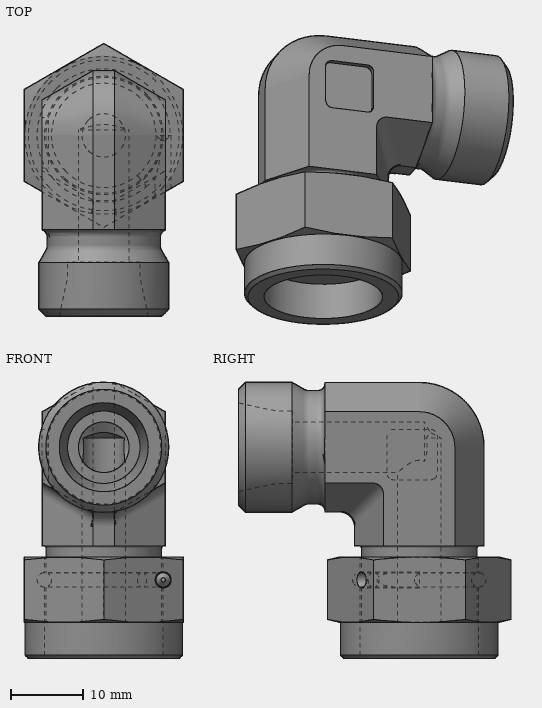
import cadquery as cq
import math


overall_height = 38.2
overall_length = 37.7
thread_diameter = 18.0
thread_radius = thread_diameter / 2

nut_flats = 22.0
nut_hex_bottom_z = 5.0
nut_top_z = 14.05
nut_collar_diameter = 21.8
nut_collar_chamfer = 0.5
nut_bevel_diameter = 21.95
nut_corner_drop = 0.42
nut_bore_diameter = 16.4
nut_corner_radius = nut_flats / 2 / math.cos(math.radians(30))
nut_collar_radius = nut_collar_diameter / 2

arm_axis_z = overall_height - thread_radius
block_flats = 17.0
crest_width = 2.95
block_bottom_z = 15.6
block_front_y = -13.03
inner_corner_radius = 2.0
half_width = block_flats / 2
shoulder_height = half_width * math.tan(math.radians(30))
crest_height = 2 * shoulder_height - crest_width / 2 * math.tan(math.radians(30))

badge_size = 7.0
badge_corner_radius = 1.0
badge_depth = 0.85
badge_center_y = -1.0
badge_center_z = 28.2

arm_end_y = nut_corner_radius - overall_length
thread_length = 7.4
thread_chamfer = 1.0
neck_diameter = 15.7
neck_root_fillet = 1.0
thread_runout_angle = 30
thread_runout_fillet = 1.0
neck_radius = neck_diameter / 2
runout_length = (thread_radius - neck_radius) / math.tan(math.radians(thread_runout_angle))
thread_back_y = arm_end_y + thread_length

shaft_diameter = 16.0
shaft_bottom_z = nut_hex_bottom_z
shaft_root_fillet = 0.35
shaft_radius = shaft_diameter / 2

arm_bore_diameter = 7.0
arm_bore_end_y = 0.73
shaft_bore_diameter = 6.0
shaft_bore_end_z = arm_axis_z + 1.25
drill_tip_angle = 124
tube_seat_diameter = 10.0
cone_mouth_diameter = 12.3
cone_half_angle = 12
tube_seat_depth = 7.5
cone_depth = (cone_mouth_diameter - tube_seat_diameter) / 2 / math.tan(math.radians(cone_half_angle))

wire_diameter = 2.0
wire_tip_diameter = 0.6
wire_hole_diameter = 2.2
wire_ring_radius = 8.2
wire_ring_z = 10.9
wire_ring_sweep = 310
wire_tip_length = (wire_diameter - wire_tip_diameter) / 2

arm_plane = cq.Plane(origin=(0, 0, arm_axis_z), xDir=(1, 0, 0), normal=(0, -1, 0))


def block_section(plane, bottom_half):
    """Hexagon with a crest cut flat; its lower half mirrors the upper half or is left out."""
    upper = [
        (half_width, shoulder_height),
        (crest_width / 2, crest_height),
        (-crest_width / 2, crest_height),
        (-half_width, shoulder_height),
    ]
    if bottom_half:
        lower = [(-x, -height) for x, height in upper]
    else:
        lower = [(-half_width, 0), (half_width, 0)]
    return cq.Workplane(plane).polyline(upper + lower).close()


def make_block():
    """Two hexagonal arms joined by a quarter turn about their common corner axis."""
    arm = block_section(arm_plane, True).extrude(-block_front_y)
    stem_plane = cq.Plane(origin=(0, 0, block_bottom_z), xDir=(1, 0, 0), normal=(0, 0, 1))
    stem = block_section(stem_plane, True).extrude(arm_axis_z - block_bottom_z)
    bend = block_section(arm_plane, False).revolve(90, (0, 0), (-1, 0))
    block = arm.union(stem).union(bend)

    corner_box = cq.selectors.BoxSelector(
        (-half_width * 0.9, -crest_height - 0.4, arm_axis_z - crest_height - 0.4),
        (half_width * 0.9, -shoulder_height, arm_axis_z - shoulder_height),
    )
    block = block.edges(corner_box).fillet(inner_corner_radius)

    badge_plane = cq.Plane(
        origin=(-half_width, badge_center_y, badge_center_z), xDir=(0, 1, 0), normal=(1, 0, 0)
    )
    badge = (
        cq.Workplane(badge_plane)
        .rect(badge_size, badge_size)
        .extrude(badge_depth)
        .edges("|X")
        .fillet(badge_corner_radius)
    )
    return block.cut(badge)


def root_flare(radius, fillet):
    """Disc as thick as the fillet, widening upward from the radius in a concave quarter round."""
    fillet_mid = fillet * (1 - math.sqrt(0.5))
    return (
        cq.Workplane("XZ")
        .lineTo(radius + fillet, 0)
        .threePointArc((radius + fillet_mid, -fillet_mid), (radius, -fillet))
        .lineTo(0, -fillet)
        .close()
        .revolve(360, (0, 0), (0, 1))
    )


def make_neck_flare():
    """Fillet between the neck and the block face, cut off where it passes the block sides."""
    flare = (
        root_flare(neck_radius, neck_root_fillet)
        .rotate((0, 0, 0), (1, 0, 0), -90)
        .translate((0, block_front_y, arm_axis_z))
    )
    return flare.intersect(block_section(arm_plane, True).extrude(-arm_end_y))


def make_threaded_end():
    """Neck, run-out and thread of the arm, turned about the arm axis."""
    runout_edge_center = (0, thread_back_y + runout_length, arm_axis_z)
    return (
        cq.Workplane("XY", origin=(0, 0, arm_axis_z))
        .moveTo(0, block_front_y)
        .lineTo(neck_radius, block_front_y)
        .lineTo(neck_radius, thread_back_y + runout_length)
        .lineTo(thread_radius, thread_back_y)
        .lineTo(thread_radius, arm_end_y + thread_chamfer)
        .lineTo(thread_radius - thread_chamfer, arm_end_y)
        .lineTo(0, arm_end_y)
        .close()
        .revolve(360, (0, 0), (0, 1))
        .edges(cq.selectors.NearestToPointSelector(runout_edge_center))
        .fillet(thread_runout_fillet)
    )


def make_shaft():
    """Swivel shaft below the block, with a small fillet at its root."""
    shaft = (
        cq.Workplane("XY", origin=(0, 0, shaft_bottom_z))
        .circle(shaft_radius)
        .extrude(block_bottom_z - shaft_bottom_z)
    )
    flare = root_flare(shaft_radius, shaft_root_fillet).translate((0, 0, block_bottom_z))
    return shaft.union(flare)


def drill_tip_length(diameter):
    return diameter / 2 / math.tan(math.radians(drill_tip_angle / 2))


def make_arm_bore():
    """Tube cone, tube seat and drilled bore along the arm axis."""
    bore_radius = arm_bore_diameter / 2
    seat_y = arm_end_y + tube_seat_depth
    return (
        cq.Workplane("XY", origin=(0, 0, arm_axis_z))
        .moveTo(0, arm_end_y)
        .lineTo(cone_mouth_diameter / 2, arm_end_y)
        .lineTo(tube_seat_diameter / 2, arm_end_y + cone_depth)
        .lineTo(tube_seat_diameter / 2, seat_y)
        .lineTo(bore_radius, seat_y)
        .lineTo(bore_radius, arm_bore_end_y)
        .lineTo(0, arm_bore_end_y + drill_tip_length(arm_bore_diameter))
        .close()
        .revolve(360, (0, 0), (0, 1))
    )


def make_shaft_bore():
    """Drilled bore along the swivel axis, meeting the bore of the arm."""
    bore_radius = shaft_bore_diameter / 2
    return (
        cq.Workplane("XZ")
        .moveTo(0, shaft_bottom_z)
        .lineTo(bore_radius, shaft_bottom_z)
        .lineTo(bore_radius, shaft_bore_end_z)
        .lineTo(0, shaft_bore_end_z + drill_tip_length(shaft_bore_diameter))
        .close()
        .revolve(360, (0, 0), (0, 1))
    )


def ring_section(diameter):
    return cq.Workplane("XZ", origin=(wire_ring_radius, 0, wire_ring_z)).circle(diameter / 2)


def make_wire_groove():
    """Round groove shared by the shaft and the nut."""
    return ring_section(wire_diameter).revolve(360, (-wire_ring_radius, 0), (-wire_ring_radius, 1))


def make_elbow():
    elbow = make_block().union(make_neck_flare()).union(make_threaded_end()).union(make_shaft())
    return elbow.cut(make_arm_bore()).cut(make_shaft_bore()).cut(make_wire_groove())


def make_nut():
    hexagon = (
        cq.Workplane("XY", origin=(0, 0, nut_hex_bottom_z))
        .polygon(6, 2 * nut_corner_radius)
        .extrude(nut_top_z - nut_hex_bottom_z)
        .rotate((0, 0, 0), (0, 0, 1), 30)
    )
    envelope = (
        cq.Workplane("XZ")
        .polyline([
            (0, nut_hex_bottom_z),
            (nut_bevel_diameter / 2, nut_hex_bottom_z),
            (nut_corner_radius, nut_hex_bottom_z + nut_corner_drop),
            (nut_corner_radius, nut_top_z - nut_corner_drop),
            (nut_bevel_diameter / 2, nut_top_z),
            (0, nut_top_z),
        ])
        .close()
        .revolve(360, (0, 0), (0, 1))
    )
    collar = (
        cq.Workplane("XY")
        .circle(nut_collar_radius)
        .extrude(nut_hex_bottom_z)
        .faces("<Z")
        .chamfer(nut_collar_chamfer)
    )
    bore = cq.Workplane("XY").circle(nut_bore_diameter / 2).extrude(nut_top_z)
    wire_hole = ring_section(wire_hole_diameter).extrude(nut_corner_radius)
    opening = bore.union(make_wire_groove()).union(wire_hole)
    return hexagon.intersect(envelope).union(collar).cut(opening)


def make_wire_ring():
    """Open ring whose pointed end lies in the wire hole of the nut."""
    ring = ring_section(wire_diameter).revolve(
        wire_ring_sweep, (-wire_ring_radius, 0), (-wire_ring_radius, 1)
    )
    tip = (
        ring_section(wire_diameter)
        .workplane(offset=wire_tip_length)
        .circle(wire_tip_diameter / 2)
        .loft()
    )
    return ring.union(tip)


elbow = make_elbow()
nut = make_nut()
wire_ring = make_wire_ring()

result = cq.Compound.makeCompound([elbow.solids().val(), nut.solids().val(), wire_ring.solids().val()])